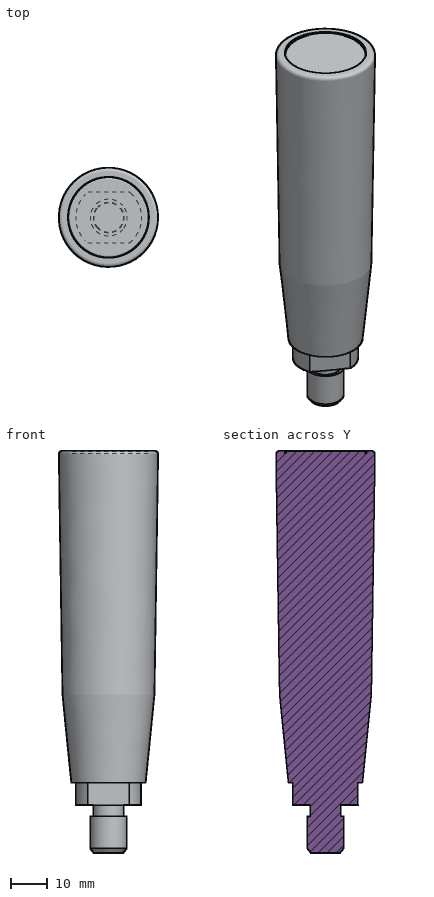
import cadquery as cq

thread_diameter = 10.0
thread_length = 10.0
neck_diameter = 8.3
neck_length = 3.0
thread_tip_diameter = 8.0
thread_tip_height = 1.25
thread_tip_inset = (thread_diameter - thread_tip_diameter) / 2

collar_diameter = 17.8
collar_length = 6.0
width_across_flats = 13.8

total_height = 109.0
grip_bottom_diameter = 20.2
grip_middle_diameter = 25.0
grip_top_diameter = 27.0
lower_cone_height = 24.0
grip_top_fillet = 1.0
grip_bottom_fillet = 0.3

cap_seat_diameter = 22.0
cap_diameter = 21.7
cap_edge_fillet = 0.5
cap_recess = 0.1
cap_gap_depth = 0.7

neck_bottom = thread_length
collar_bottom = neck_bottom + neck_length
grip_bottom = collar_bottom + collar_length
grip_middle = grip_bottom + lower_cone_height


def cylinder(diameter, bottom, height):
    """Round bar on the Z axis."""
    return cq.Workplane("XY").workplane(offset=bottom).circle(diameter / 2).extrude(height)


def make_stud():
    """Thread with a chamfered tip, and the narrower neck above it."""
    thread = cylinder(thread_diameter, 0, thread_length)
    thread = thread.faces("<Z").chamfer(thread_tip_height, thread_tip_inset)
    neck = cylinder(neck_diameter, neck_bottom, neck_length)
    return thread.union(neck)


def make_collar():
    """Round collar cut flat on its -Y and +Y sides."""
    between_flats = (
        cq.Workplane("XY")
        .workplane(offset=collar_bottom)
        .rect(collar_diameter, width_across_flats)
        .extrude(collar_length)
    )
    return cylinder(collar_diameter, collar_bottom, collar_length).intersect(between_flats)


def make_grip():
    """Double-cone grip with rounded top and bottom rims."""
    half_profile = (
        cq.Workplane("XZ")
        .moveTo(0, grip_bottom)
        .lineTo(grip_bottom_diameter / 2, grip_bottom)
        .lineTo(grip_middle_diameter / 2, grip_middle)
        .lineTo(grip_top_diameter / 2, total_height)
        .lineTo(0, total_height)
        .close()
    )
    grip = half_profile.revolve(360, (0, 0, 0), (0, 1, 0))
    grip = grip.faces(">Z").edges().fillet(grip_top_fillet)
    return grip.faces("<Z").edges().fillet(grip_bottom_fillet)


def make_cap():
    """Flat cap set just below the rim of the grip, with a rounded edge."""
    cap = cylinder(cap_diameter, total_height - cap_gap_depth, cap_gap_depth - cap_recess)
    return cap.faces(">Z").edges().fillet(cap_edge_fillet)


cap_seat = cylinder(cap_seat_diameter, total_height - cap_gap_depth, cap_gap_depth)
grip_with_cap = make_grip().cut(cap_seat).union(make_cap())
result = make_stud().union(make_collar()).union(grip_with_cap)